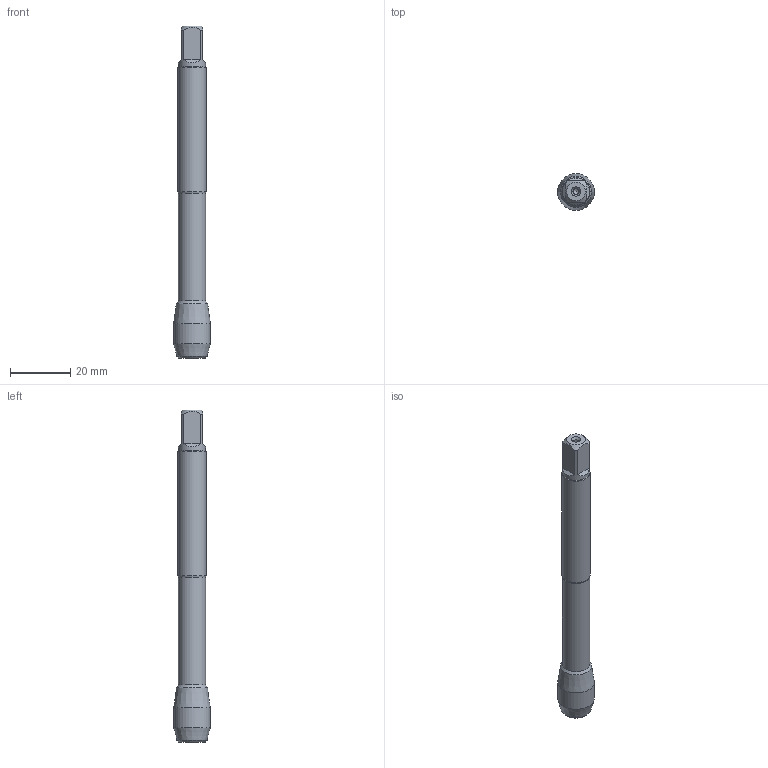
import cadquery as cq
import math

OVERALL_LENGTH = 110.0

HEAD_DIAMETER = 12.17
HEAD_TIP_DIAMETER = 8.8
HEAD_LEAD_DIAMETER = 9.95
HEAD_REAR_DIAMETER = 10.3
TIP_CHAMFER_TOP = 0.6
LEAD_TOP = 4.75
FULL_DIAMETER_TOP = 11.4
REAR_TAPER_TOP = 18.0
HEAD_LENGTH = 18.9

NECK_DIAMETER = 9.02
SHANK_DIAMETER = 9.32
COLLAR_DIAMETER = 8.95
SHANK_BOTTOM = 55.1
SHANK_CHAMFER_HEIGHT = 0.5
SHANK_TOP = 96.3
COLLAR_CHAMFER_HEIGHT = 0.2

SQUARE_WIDTH = 6.985
SQUARE_LENGTH = 11.2
TOP_FACE_DIAMETER = 6.2

CENTRE_HOLE_DIAMETER = 2.0
COUNTERSINK_DIAMETER = 3.1
COUNTERSINK_ANGLE = 60.0
CENTRE_HOLE_DEPTH = 3.0
DRILL_POINT_ANGLE = 120.0


def turned(points):
    """Revolve an outline of (radius, height) points about the Z axis."""
    return cq.Workplane("XZ").polyline(points).close().revolve(360, (0, 0), (0, 1))


def make_head():
    """Cutting head: tip chamfer, tapered lead, full diameter, rear taper and rear chamfer."""
    return turned([
        (0, 0),
        (HEAD_TIP_DIAMETER / 2, 0),
        (HEAD_LEAD_DIAMETER / 2, TIP_CHAMFER_TOP),
        (HEAD_DIAMETER / 2, LEAD_TOP),
        (HEAD_DIAMETER / 2, FULL_DIAMETER_TOP),
        (HEAD_REAR_DIAMETER / 2, REAR_TAPER_TOP),
        (NECK_DIAMETER / 2, HEAD_LENGTH),
        (0, HEAD_LENGTH),
    ])


def make_shank_blank():
    """Turned neck, shank and collar, with a 45 degree chamfer at the top end."""
    top_chamfer = (COLLAR_DIAMETER - TOP_FACE_DIAMETER) / 2
    return turned([
        (0, HEAD_LENGTH),
        (NECK_DIAMETER / 2, HEAD_LENGTH),
        (NECK_DIAMETER / 2, SHANK_BOTTOM - SHANK_CHAMFER_HEIGHT),
        (SHANK_DIAMETER / 2, SHANK_BOTTOM),
        (SHANK_DIAMETER / 2, SHANK_TOP),
        (COLLAR_DIAMETER / 2, SHANK_TOP + COLLAR_CHAMFER_HEIGHT),
        (COLLAR_DIAMETER / 2, OVERALL_LENGTH - top_chamfer),
        (TOP_FACE_DIAMETER / 2, OVERALL_LENGTH),
        (0, OVERALL_LENGTH),
    ])


def make_flat_cutter():
    """Cutter for the flat on the +X side; its lower end runs out at 45 degrees."""
    flat_x = SQUARE_WIDTH / 2
    flat_bottom = OVERALL_LENGTH - SQUARE_LENGTH
    reach = SHANK_DIAMETER - flat_x
    return (
        cq.Workplane("XZ")
        .moveTo(flat_x, OVERALL_LENGTH)
        .lineTo(flat_x, flat_bottom)
        .lineTo(flat_x + reach, flat_bottom - reach)
        .lineTo(flat_x + reach, OVERALL_LENGTH)
        .close()
        .extrude(SHANK_DIAMETER, both=True)
    )


def make_centre_hole_cutter():
    """Countersunk centre hole with a conical drill point."""
    hole_radius = CENTRE_HOLE_DIAMETER / 2
    countersink_radius = COUNTERSINK_DIAMETER / 2
    countersink_depth = (countersink_radius - hole_radius) / math.tan(math.radians(COUNTERSINK_ANGLE / 2))
    point_depth = hole_radius / math.tan(math.radians(DRILL_POINT_ANGLE / 2))
    hole_bottom = OVERALL_LENGTH - CENTRE_HOLE_DEPTH
    return turned([
        (0, OVERALL_LENGTH),
        (countersink_radius, OVERALL_LENGTH),
        (hole_radius, OVERALL_LENGTH - countersink_depth),
        (hole_radius, hole_bottom),
        (0, hole_bottom - point_depth),
    ])


def make_shank():
    """Shank with its driving square and centre hole."""
    shank = make_shank_blank()
    flat_cutter = make_flat_cutter()
    for angle in (0, 90, 180, 270):
        shank = shank.cut(flat_cutter.rotate((0, 0, 0), (0, 0, 1), angle))
    return shank.cut(make_centre_hole_cutter())


head = make_head()
shank = make_shank()

result = cq.Compound.makeCompound([head.val(), shank.val()])